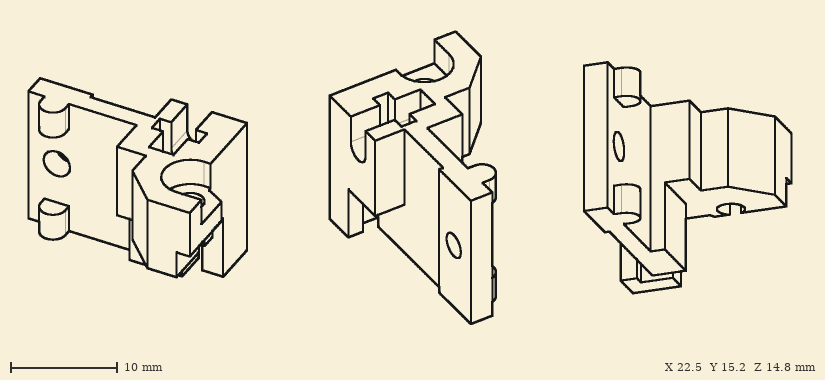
import cadquery as cq

height = 14.8

plate_length = 12.49
web_thickness = 1.94
pad_length = 5.62
pad_thickness = 2.38
locator_x = 3.04
pin_radius = 1.3
pin_axis_y = -0.76
pin_height = 2.9
plate_hole_front_radius = 1.4
plate_hole_back_radius = 1.25

block_left = 11.52
block_back_left = plate_length
block_right = 20.56
block_back = 5.18
block_front = -3.9
arm_left = 14.58
arm_right = 22.5
arm_front = -10.04
arm_chamfer = 3.42
flare_start_y = -2.52
flare_end_y = -3.65
arm_underside = 6.82
arm_tip_underside = 9.72
arm_tip_left = 21.08

rod_x = 19.87
rod_y = -4.93
rod_hole_radius = 1.33
seat_radius = 2.75
seat_floor = 11.97

screw_x = 15.5
screw_radius = 1.3
screw_z = 11.77
screw_end_y = -2.55
nut_width = 5.02
nut_front = 0.3

foot_front = -1.42
foot_right = rod_x - seat_radius
hook_front = 0.34
hook_top = 5.75
hook_leg_left = 18.32
hook_lip_left = 17.24
hook_lip_front = 3.53


def box(x0, x1, y0, y1, z0, z1):
    """Box between opposite corners."""
    return cq.Workplane("XY").box(x1 - x0, y1 - y0, z1 - z0, centered=False).translate((x0, y0, z0))


def make_plate():
    """Thin web with a thicker end pad, two round-nosed pins and a tapered hole between them."""
    plate = box(0, plate_length, 0, web_thickness, 0, height)
    plate = plate.union(box(0, pad_length, 0, pad_thickness, 0, height))
    for base in (0, height - pin_height):
        pin = (
            cq.Workplane("XY", origin=(locator_x, 0, base))
            .moveTo(-pin_radius, 0)
            .lineTo(-pin_radius, pin_axis_y)
            .threePointArc((0, pin_axis_y - pin_radius), (pin_radius, pin_axis_y))
            .lineTo(pin_radius, 0)
            .close()
            .extrude(pin_height)
        )
        plate = plate.union(pin)
    hole = (
        cq.Workplane("XZ", origin=(locator_x, 0, height / 2))
        .circle(plate_hole_front_radius)
        .workplane(offset=-pad_thickness)
        .circle(plate_hole_back_radius)
        .loft()
    )
    return plate.cut(hole)


def make_upper_body():
    """Clamp block with the rod arm, above the arm underside."""
    outline = [
        (block_back_left, block_back),
        (block_right, block_back),
        (block_right, flare_start_y),
        (arm_right, flare_end_y),
        (arm_right, arm_front),
        (arm_left + arm_chamfer, arm_front),
        (arm_left, arm_front + arm_chamfer),
        (arm_left, block_front),
        (block_left, block_front),
        (block_left, 0),
        (block_back_left, 0),
    ]
    body = cq.Workplane("XY", origin=(0, 0, arm_underside)).polyline(outline).close()
    body = body.extrude(height - arm_underside)
    tip_relief = box(arm_tip_left, arm_right, arm_front, flare_start_y, arm_underside, arm_tip_underside)
    return body.cut(tip_relief)


def make_lower_body():
    """Foot under the block, and the hook whose leg and lip hang from the back of the block."""
    foot = box(block_left, foot_right, foot_front, web_thickness, 0, arm_underside)
    bridge = box(block_back_left, block_right, hook_front, block_back, hook_top, arm_underside)
    leg = box(hook_leg_left, block_right, hook_front, block_back, 0, hook_top)
    lip = box(hook_lip_left, hook_leg_left, hook_lip_front, block_back, 0, hook_top)
    return foot.union(bridge).union(leg).union(lip)


def make_rod_seat():
    """Cutting tool: through hole under a round-ended recess that opens toward +X."""
    hole = cq.Workplane("XY").circle(rod_hole_radius).extrude(height).translate((rod_x, rod_y, 0))
    recess = cq.Workplane("XY").circle(seat_radius).extrude(height - seat_floor)
    recess = recess.translate((rod_x, rod_y, seat_floor))
    opening = box(rod_x, arm_right, rod_y - seat_radius, rod_y + seat_radius, seat_floor, height)
    return hole.union(recess).union(opening)


def make_screw_channel():
    """Cutting tool: round-bottomed channel to the back face, crossed by the nut slot."""
    channel_length = block_back - screw_end_y
    channel = cq.Workplane("XZ").circle(screw_radius).extrude(-channel_length)
    channel = channel.translate((screw_x, screw_end_y, screw_z))
    left = screw_x - screw_radius
    right = screw_x + screw_radius
    channel = channel.union(box(left, right, screw_end_y, block_back, screw_z, height))
    nut_left = screw_x - nut_width / 2
    nut_right = screw_x + nut_width / 2
    nut_floor = screw_z - nut_width / 2
    nut_slot = box(nut_left, nut_right, nut_front, web_thickness, nut_floor, height)
    return channel.union(nut_slot)


result = make_plate().union(make_upper_body()).union(make_lower_body())
result = result.cut(make_rod_seat()).cut(make_screw_channel())